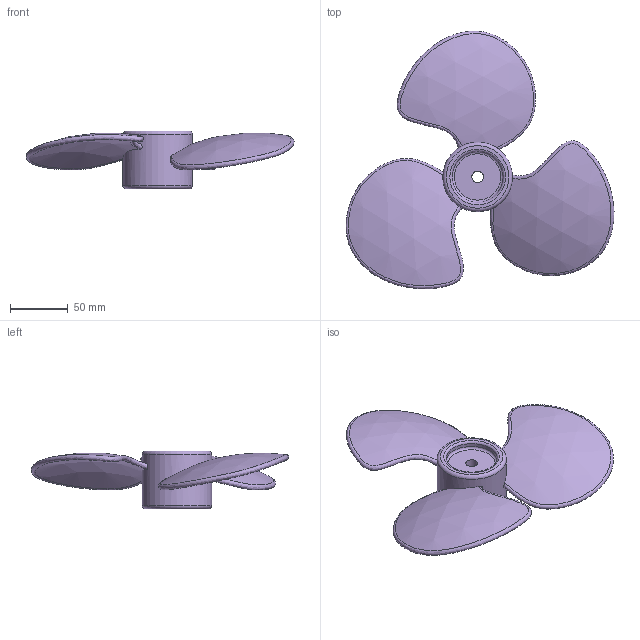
import cadquery as cq
import math

hub_radius = 30.0
hub_height = 50.0
hub_edge_fillet = 3.0
bore_radius = 5.0
recess_radius = 22.0
recess_depth = 7.0
recess_fillet = 2.0

blade_count = 3
blade_thickness = 4.1
blade_pitch = 15.0
dome_inner_radius = 150.0
crown_distance = 74.0
crown_height = 41.3
rim_radius = 2.2

dome_outer_radius = dome_inner_radius + blade_thickness
dome_mid_radius = dome_inner_radius + blade_thickness / 2

rim_line = [
    (19.3, 21.3),
    (40.2, 33.6),
    (50.7, 45.3),
    (55.1, 70.2),
    (47.8, 94.7),
    (30.7, 114.9),
    (7.6, 125.8),
    (-16.0, 124.4),
    (-39.2, 113.1),
    (-58.0, 94.6),
    (-70.0, 73.0),
    (-71.3, 54.0),
    (-56.0, 46.8),
    (-29.7, 41.0),
    (-13.2, 21.7),
]


def make_hub():
    hub = cq.Workplane("XY").circle(hub_radius).extrude(hub_height)
    hub = hub.edges().fillet(hub_edge_fillet)
    recess_floor = hub_height - recess_depth
    recess = cq.Workplane("XY").workplane(offset=recess_floor).circle(recess_radius).extrude(recess_depth)
    recess = recess.faces("<Z").edges().fillet(recess_fillet)
    hub = hub.cut(recess)
    lip = hub.faces(">Z").edges(cq.selectors.RadiusNthSelector(0))
    hub = lip.fillet(recess_fillet)
    bore = cq.Workplane("XY").circle(bore_radius).extrude(hub_height)
    return hub.cut(bore)


def dome_ball(radius):
    """Ball about the dome centre, with its seam and poles kept away from the blade."""
    frame = cq.Plane(origin=(0, 0, 0), xDir=(0, 0, -1), normal=(1, 0, 0))
    return cq.Workplane(frame).sphere(radius)


def rim_curve(radius):
    """Rim line laid on the sphere of the given radius about the dome centre, from root to root."""
    points = []
    for across, out in rim_line:
        direction = cq.Vector(across, out - crown_distance, dome_mid_radius).normalized()
        points.append(direction * radius)
    return cq.Edge.makeSpline(points)


def rim_loop(height):
    """Closed rim line projected from the dome centre onto the plane at the given height."""
    scale = height / dome_mid_radius
    points = [(across * scale, (out - crown_distance) * scale) for across, out in rim_line]
    return cq.Workplane("XY").workplane(offset=height).spline(points).close().val()


def make_blade():
    near = 0.8 * dome_inner_radius
    far = 1.1 * dome_outer_radius
    cone = cq.Solid.makeLoft([rim_loop(near), rim_loop(far)], True)
    rim_edge = rim_curve(dome_mid_radius)
    shell = dome_ball(dome_outer_radius).cut(dome_ball(dome_inner_radius))
    sheet = shell.intersect(cq.Workplane(cone))
    start = cq.Plane(origin=rim_edge.startPoint(), normal=rim_edge.tangentAt(0))
    rim = cq.Workplane(start).circle(rim_radius).sweep(cq.Workplane(rim_edge))
    blade = sheet.union(rim)
    pitch = math.radians(blade_pitch)
    centre = (
        -dome_mid_radius * math.sin(pitch),
        crown_distance,
        crown_height - dome_mid_radius * math.cos(pitch),
    )
    return blade.rotate((0, 0, 0), (0, 1, 0), blade_pitch).translate(centre)


result = make_hub()
blade = make_blade()
for index in range(blade_count):
    result = result.union(blade.rotate((0, 0, 0), (0, 0, 1), index * 360 / blade_count))